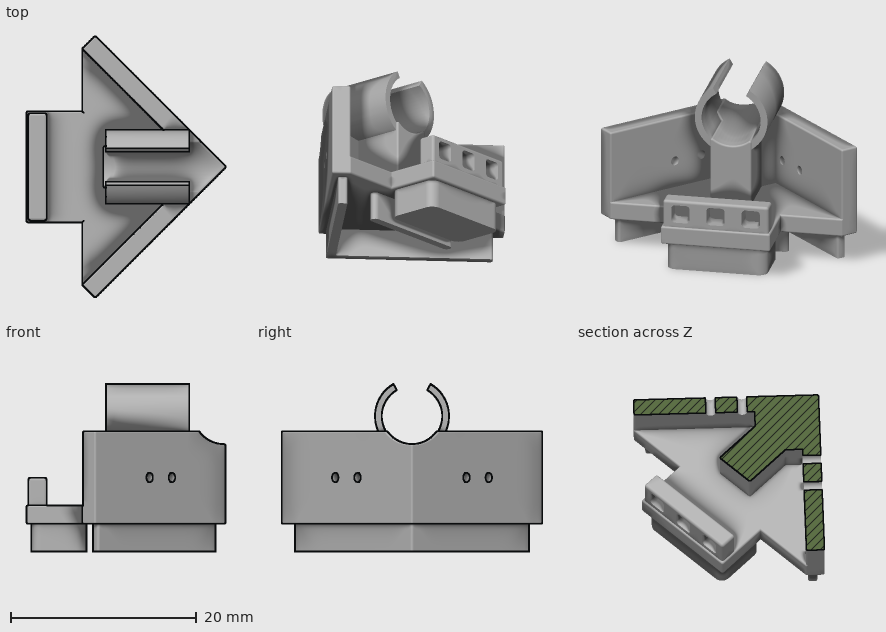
import cadquery as cq
import math

SQRT2 = math.sqrt(2)
TOLERANCE = 1e-4

WALL_LENGTH = 20.0
WALL_THICKNESS = 2.0
WALL_HEIGHT = 10.0
APEX_X = (WALL_LENGTH + WALL_THICKNESS) / SQRT2
EDGE_RADIUS = 0.2

FLOOR_THICKNESS = 2.0
TONGUE_LENGTH = 6.0
TONGUE_WIDTH = 12.0

TAB_INSET = 0.2
TAB_THICKNESS = 2.0
TAB_WIDTH = TONGUE_WIDTH - 2 * TAB_INSET
TAB_TOP_Z = 5.0
TAB_RADIUS = 0.3
WINDOW_COUNT = 3
WINDOW_SIZE = 2.0
WINDOW_RADIUS = 0.4
WINDOW_PITCH = TAB_WIDTH / WINDOW_COUNT
WINDOW_Z = (FLOOR_THICKNESS + TAB_TOP_Z) / 2

TUBE_OUTER_RADIUS = 4.0
TUBE_INNER_RADIUS = 3.25
TUBE_HALF_OPENING = 30.0
TUBE_LENGTH = 9.0
TUBE_END_X = APEX_X - 4.0
TUBE_START_X = TUBE_END_X - TUBE_LENGTH
TUBE_Z = 11.616
TROUGH_RADIUS = 3.25
TROUGH_Z = TUBE_Z + 0.25
POST_WIDTH = 4.5
POST_START_X = TUBE_START_X - 0.25
CORNER_BLOCK_SIDE = 7.0

HOLE_DIAMETER = 1.0
HOLE_SPACING = 3.4
HOLE_Z = 5.0

LUG_DEPTH = 3.0
TONGUE_LUG_LENGTH = 6.0
TONGUE_LUG_WIDTH = 11.0
TONGUE_LUG_INSET = 0.5
TONGUE_LUG_RADIUS = 1.0
WALL_LUG_LENGTH = 18.0
WALL_LUG_THICKNESS = 1.0
WALL_LUG_INSET = 0.75
WALL_LUG_RADIUS = 0.25
BAR_LUG_X = 1.9
BAR_LUG_WIDTH = 12.8
BAR_LUG_THICKNESS = 1.0


def along_wall(distance, depth, side):
    """Plan point at a distance from the apex along a wall and a depth in from its outer face."""
    return APEX_X - (distance + depth) / SQRT2, side * (distance - depth) / SQRT2


def chevron(length, thickness, inset=0.0):
    """Plan outline of two equal legs at a right angle, set in from the outer wall faces."""
    end = inset + length
    inner = inset + thickness
    return [
        along_wall(inset, inset, 1),
        along_wall(end, inset, 1),
        along_wall(end, inner, 1),
        along_wall(inner, inner, 1),
        along_wall(end, inner, -1),
        along_wall(end, inset, -1),
    ]


def plan_distance(edge):
    """Distance, along X, of the middle of an edge from the plane of the nearest outer wall face."""
    middle = edge.Center()
    return APEX_X - middle.x - abs(middle.y)


def is_upright(edge):
    return edge.geomType() == "LINE" and abs(edge.tangentAt(0).z) > 1 - TOLERANCE


def round_edges(solid, wanted):
    """Round the edges of a solid for which wanted(edge) is true."""
    return solid.newObject([edge for edge in solid.edges().vals() if wanted(edge)]).fillet(EDGE_RADIUS)


def make_floor():
    """Arrow-shaped plate with a rear tongue, reaching to the outer faces of the walls."""
    tip = along_wall(WALL_LENGTH, 0, 1)
    shoulder = along_wall(WALL_LENGTH, WALL_THICKNESS, 1)
    half_width = TONGUE_WIDTH / 2
    upper = [tip, shoulder, (0, half_width), (-TONGUE_LENGTH, half_width)]
    lower = [(x, -y) for x, y in reversed(upper)]
    floor = cq.Workplane("XY").polyline([(APEX_X, 0)] + upper + lower).close().extrude(FLOOR_THICKNESS)

    def wanted(edge):
        middle = edge.Center()
        if is_upright(edge):
            at_inner_corner = abs(middle.x) < TOLERANCE and abs(abs(middle.y) - half_width) < TOLERANCE
            return not at_inner_corner
        return middle.z < TOLERANCE or middle.x < TOLERANCE

    return round_edges(floor, wanted)


def make_head():
    """Walls, corner block and post, with the round trough for the tube along their top."""
    walls = cq.Workplane("XY").polyline(chevron(WALL_LENGTH, WALL_THICKNESS)).close().extrude(WALL_HEIGHT)
    block_outline = [
        (APEX_X, 0),
        along_wall(CORNER_BLOCK_SIDE, 0, 1),
        (APEX_X - CORNER_BLOCK_SIDE * SQRT2, 0),
        along_wall(CORNER_BLOCK_SIDE, 0, -1),
    ]
    block = cq.Workplane("XY").polyline(block_outline).close().extrude(WALL_HEIGHT)
    post_end_x = APEX_X - CORNER_BLOCK_SIDE / SQRT2
    post = cq.Workplane("XY").box(
        post_end_x - POST_START_X, POST_WIDTH, WALL_HEIGHT, centered=(False, True, False)
    ).translate((POST_START_X, 0, 0))
    trough = cq.Workplane("YZ").center(0, TROUGH_Z).circle(TROUGH_RADIUS).extrude(2 * APEX_X)
    head = walls.union(block).union(post).cut(trough)

    def wanted(edge):
        middle = edge.Center()
        if is_upright(edge):
            at_post_front = abs(middle.x - POST_START_X) < TOLERANCE
            at_wall_end = plan_distance(edge) > -TOLERANCE and middle.x < POST_START_X
            at_apex = abs(middle.y) < TOLERANCE
            return at_post_front or at_wall_end or at_apex
        if middle.z < TOLERANCE:
            at_outer_face = plan_distance(edge) < TOLERANCE
            at_wall_end = middle.x < POST_START_X - TOLERANCE and abs(middle.y) > TONGUE_WIDTH
            return at_outer_face or at_wall_end
        return True

    return round_edges(head, wanted)


def make_tube():
    """Tube along X with a wedge-shaped opening along its top."""
    tube = (
        cq.Workplane("YZ", origin=(TUBE_START_X, 0, TUBE_Z))
        .circle(TUBE_OUTER_RADIUS)
        .circle(TUBE_INNER_RADIUS)
        .extrude(TUBE_LENGTH)
    )
    wedge_height = 2 * TUBE_OUTER_RADIUS
    wedge_half_width = wedge_height * math.tan(math.radians(TUBE_HALF_OPENING))
    opening = (
        cq.Workplane("YZ", origin=(TUBE_START_X, 0, TUBE_Z))
        .polyline([(0, 0), (wedge_half_width, wedge_height), (-wedge_half_width, wedge_height)])
        .close()
        .extrude(TUBE_LENGTH)
    )
    return tube.cut(opening)


def make_tab():
    """Upright rounded tab with a row of square windows through it."""
    height = TAB_TOP_Z - FLOOR_THICKNESS
    rear_x = TAB_INSET - TONGUE_LENGTH
    tab = (
        cq.Workplane("XY", origin=(rear_x + TAB_THICKNESS / 2, 0, FLOOR_THICKNESS))
        .box(TAB_THICKNESS, TAB_WIDTH, height, centered=(True, True, False))
        .edges("|Z or >Z")
        .fillet(TAB_RADIUS)
    )
    windows = (
        cq.Workplane("YZ", origin=(rear_x, 0, WINDOW_Z))
        .rarray(WINDOW_PITCH, 1, WINDOW_COUNT, 1)
        .rect(WINDOW_SIZE, WINDOW_SIZE)
        .extrude(TAB_THICKNESS)
        .edges("|X")
        .fillet(WINDOW_RADIUS)
    )
    return tab.cut(windows)


def make_wall_holes():
    """Two round cutters square to each wall, spaced evenly about the wall's middle."""
    holes = []
    for side in (1, -1):
        inward = cq.Vector(-1, -side, 0)
        for offset in (-HOLE_SPACING / 2, HOLE_SPACING / 2):
            x, y = along_wall(WALL_LENGTH / 2 + offset, 0, side)
            start = cq.Vector(x, y, HOLE_Z)
            holes.append(cq.Solid.makeCylinder(HOLE_DIAMETER / 2, WALL_THICKNESS, start, inward))
    return holes


def make_lug(outline, radius):
    """Downward extrusion of a plan outline with rounded upright edges."""
    return outline.extrude(-LUG_DEPTH).edges("|Z").fillet(radius)


def make_lugs():
    """Block under the tongue, chevron under the walls and a round-ended bar between them."""
    tongue_lug_x = TONGUE_LUG_INSET - TONGUE_LENGTH + TONGUE_LUG_LENGTH / 2
    tongue_lug = make_lug(
        cq.Workplane("XY").center(tongue_lug_x, 0).rect(TONGUE_LUG_LENGTH, TONGUE_LUG_WIDTH),
        TONGUE_LUG_RADIUS,
    )
    wall_lug = make_lug(
        cq.Workplane("XY").polyline(chevron(WALL_LUG_LENGTH, WALL_LUG_THICKNESS, WALL_LUG_INSET)).close(),
        WALL_LUG_RADIUS,
    )
    bar_lug = (
        cq.Workplane("XY")
        .center(BAR_LUG_X + BAR_LUG_THICKNESS / 2, 0)
        .slot2D(BAR_LUG_WIDTH, BAR_LUG_THICKNESS, 90)
        .extrude(-LUG_DEPTH)
    )
    return tongue_lug.union(wall_lug).union(bar_lug)


body = make_floor().union(make_head()).union(make_tab()).union(make_lugs())
for hole in make_wall_holes():
    body = body.cut(hole)
result = body.union(make_tube())